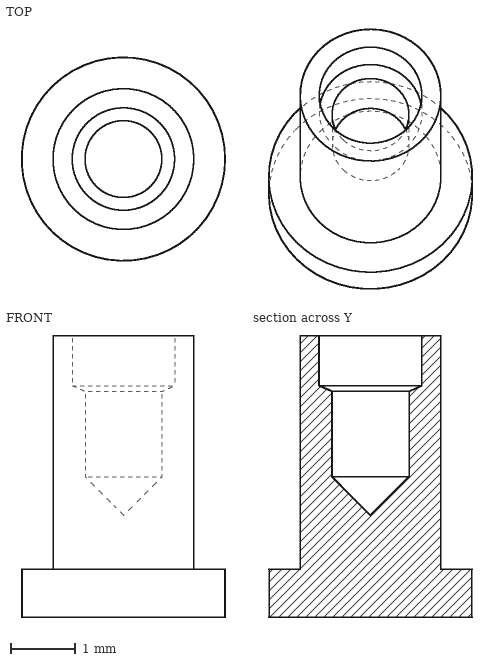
import cadquery as cq
import math

total_height = 4.4
flange_diameter = 3.18
flange_height = 0.752
barrel_diameter = 2.2

bore_diameter = 1.6
bore_depth = 0.78
pilot_diameter = 1.2
shoulder_drop = 0.09
pilot_bottom_depth = 2.2
drill_point_angle = 90.0

bore_radius = bore_diameter / 2
pilot_radius = pilot_diameter / 2
shoulder_z = total_height - bore_depth
pilot_bottom_z = total_height - pilot_bottom_depth
drill_point_height = pilot_radius / math.tan(math.radians(drill_point_angle / 2))


def make_body():
    """Round flange with a concentric barrel standing on it."""
    flange = cq.Workplane("XY").circle(flange_diameter / 2).extrude(flange_height)
    barrel = cq.Workplane("XY").circle(barrel_diameter / 2).extrude(total_height)
    return flange.union(barrel)


def make_bore():
    """Bore, conical shoulder, pilot hole and drill point, revolved about Z."""
    half_profile = (
        cq.Workplane("XZ")
        .moveTo(0, total_height)
        .lineTo(bore_radius, total_height)
        .lineTo(bore_radius, shoulder_z)
        .lineTo(pilot_radius, shoulder_z - shoulder_drop)
        .lineTo(pilot_radius, pilot_bottom_z)
        .lineTo(0, pilot_bottom_z - drill_point_height)
        .close()
    )
    return half_profile.revolve(360, (0, 0, 0), (0, 1, 0))


result = make_body().cut(make_bore())